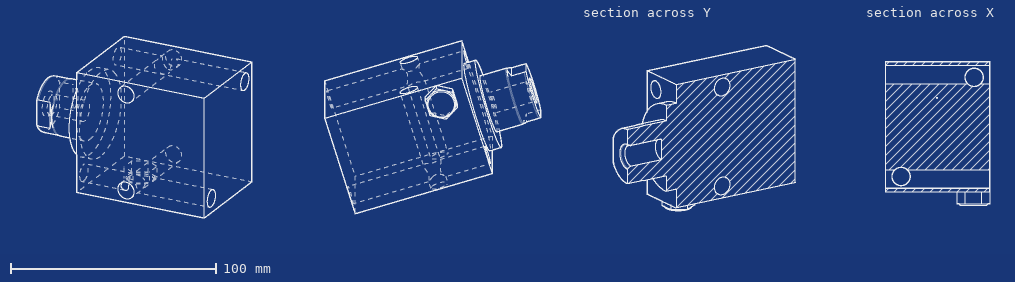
import cadquery as cq
import math

block_length = 69.85
block_width = 50.8
block_height = 63.5

flange_diameter = 44.45
flange_length = 5.8
rod_diameter = 28.575
rod_projection = 28.7
nose_diameter = 28.2
nose_length = 9.2
shoulder_taper_length = 0.6
tip_taper_length = 0.95
tip_taper_depth = 0.2

flat_spacing = 24.6
flat_length = 7.3
flat_runout_angle = 45.0
flat_cutter_clearance = 1.0

bore_diameter = 10.4
bore_mouth_diameter = 12.7
bore_lead_in_diameter = 12.0
bore_lead_in_depth = 0.5
bore_taper_end_depth = 2.15
bore_depth = 20.0

hole_diameter = 8.8
cross_hole_x = 27.0
cross_hole_spacing = 50.8
long_hole_spacing_y = 35.6
long_hole_spacing_z = 48.3

plug_x = 12.9
plug_across_flats = 14.0
plug_across_corners = plug_across_flats / math.cos(math.pi / 6)
plug_corner_overhang = 0.12
plug_y = block_width / 2 + plug_corner_overhang - plug_across_corners / 2
plug_height = 6.53
plug_crown_height = 0.75
plug_crown_end_diameter = 12.9

tip_x = -rod_projection


def make_block():
    return cq.Workplane("XY").box(block_length, block_width, block_height, centered=(False, True, True))


def make_rod_and_flange():
    """Half profile of radius against X, revolved about the X axis."""
    nose_radius = nose_diameter / 2
    rod_radius = rod_diameter / 2
    flange_radius = flange_diameter / 2
    nose_end_x = tip_x + nose_length
    profile = (
        cq.Workplane("XY")
        .moveTo(tip_x, 0)
        .lineTo(tip_x, nose_radius - tip_taper_depth)
        .lineTo(tip_x + tip_taper_length, nose_radius)
        .lineTo(nose_end_x, nose_radius)
        .lineTo(nose_end_x + shoulder_taper_length, rod_radius)
        .lineTo(-flange_length, rod_radius)
        .lineTo(-flange_length, flange_radius)
        .lineTo(0, flange_radius)
        .lineTo(0, 0)
        .close()
    )
    return profile.revolve(360, (0, 0, 0), (1, 0, 0))


def make_wrench_flat_cutter(side):
    """Prism that cuts one flat on the +Y or -Y side (side = 1 or -1)."""
    flat_y = flat_spacing / 2
    outer_y = rod_diameter / 2 + flat_cutter_clearance
    flat_end_x = tip_x + flat_length
    runout = (outer_y - flat_y) / math.tan(math.radians(flat_runout_angle))
    return (
        cq.Workplane("XY")
        .moveTo(tip_x, side * flat_y)
        .lineTo(flat_end_x, side * flat_y)
        .lineTo(flat_end_x + runout, side * outer_y)
        .lineTo(tip_x, side * outer_y)
        .close()
        .extrude(rod_diameter / 2, both=True)
    )


def make_bore():
    """Flat-bottomed bore with a short lead-in and a longer taper at its mouth."""
    bore_radius = bore_diameter / 2
    profile = (
        cq.Workplane("XY")
        .moveTo(tip_x, 0)
        .lineTo(tip_x, bore_mouth_diameter / 2)
        .lineTo(tip_x + bore_lead_in_depth, bore_lead_in_diameter / 2)
        .lineTo(tip_x + bore_taper_end_depth, bore_radius)
        .lineTo(tip_x + bore_depth, bore_radius)
        .lineTo(tip_x + bore_depth, 0)
        .close()
    )
    return profile.revolve(360, (0, 0, 0), (1, 0, 0))


def make_cross_holes():
    """Two holes through the block along Y, one above the other."""
    half_spacing = cross_hole_spacing / 2
    return (
        cq.Workplane("XZ")
        .pushPoints([(cross_hole_x, half_spacing), (cross_hole_x, -half_spacing)])
        .circle(hole_diameter / 2)
        .extrude(block_width / 2, both=True)
    )


def make_long_holes():
    """Two holes through the block along X, at diagonally opposite corners."""
    half_y = long_hole_spacing_y / 2
    half_z = long_hole_spacing_z / 2
    return (
        cq.Workplane("YZ")
        .pushPoints([(half_y, half_z), (-half_y, -half_z)])
        .circle(hole_diameter / 2)
        .extrude(block_length)
    )


def make_plug():
    """Hexagonal head with a tapered round crown on its lower end."""
    hex_height = plug_height - plug_crown_height
    block_bottom = cq.Workplane("XY", origin=(plug_x, plug_y, -block_height / 2))
    hexagon = block_bottom.transformed(rotate=(0, 0, 90)).polygon(6, plug_across_corners).extrude(-hex_height)
    crown = (
        block_bottom.workplane(offset=-hex_height)
        .circle(plug_across_flats / 2)
        .workplane(offset=-plug_crown_height)
        .circle(plug_crown_end_diameter / 2)
        .loft(combine=True)
    )
    return hexagon.union(crown)


rod_and_flange = make_rod_and_flange().cut(make_bore())
for side in (1, -1):
    rod_and_flange = rod_and_flange.cut(make_wrench_flat_cutter(side))

drilled_block = make_block().cut(make_cross_holes()).cut(make_long_holes())

result = drilled_block.union(rod_and_flange).union(make_plug())